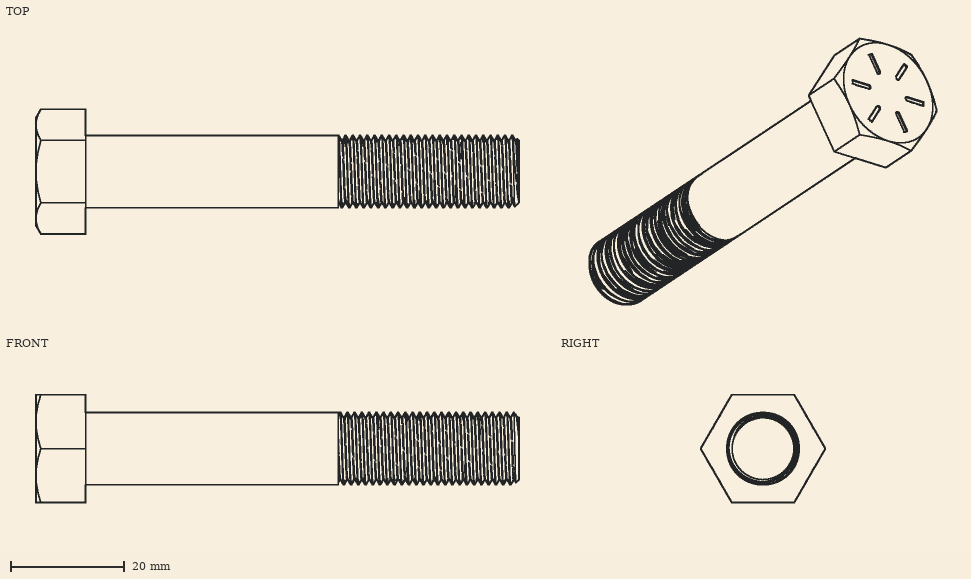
import cadquery as cq
import math

total_length = 84.9
head_height = 8.75
across_flats = 19.0
across_corners = across_flats / math.cos(math.radians(30))
shank_diameter = 12.7
shank_radius = shank_diameter / 2

head_chamfer_angle = 30
head_face_radius = across_flats / 2
head_corner_radius = across_corners / 2
head_chamfer_depth = (head_corner_radius - head_face_radius) * math.tan(math.radians(head_chamfer_angle))

thread_length = 31.8
thread_start = total_length - thread_length
thread_pitch = 1.3
thread_flank_angle = 30
root_diameter = 11.0
root_radius = root_diameter / 2
thread_depth = shank_radius - root_radius
tip_radius = 5.4

root_width = 0.2
flank_width = thread_depth * math.tan(math.radians(thread_flank_angle))
crest_width = thread_pitch - root_width - 2 * flank_width
flank_steps = 8

mark_count = 6
mark_inner_radius = 3.7
mark_outer_radius = 7.6
mark_width = 0.8
mark_depth = 0.25


def polar_point(radius, angle):
    return (radius * math.cos(angle), radius * math.sin(angle))


def make_head():
    """Hexagonal head with two flats facing +Z and -Z and conically trimmed corners."""
    prism = cq.Workplane("YZ").polygon(6, across_corners).extrude(head_height)
    trim_cone = (
        cq.Workplane("XY")
        .moveTo(0, 0)
        .lineTo(0, head_face_radius)
        .lineTo(head_chamfer_depth, head_corner_radius)
        .lineTo(head_height, head_corner_radius)
        .lineTo(head_height, 0)
        .close()
        .revolve(360, (0, 0, 0), (1, 0, 0))
    )
    return prism.intersect(trim_cone)


def make_grade_marks():
    """Shallow radial slots around the head face, square outside and rounded inside."""
    half_width = mark_width / 2
    round_centre = mark_inner_radius + half_width
    mark = (
        cq.Workplane("YZ")
        .moveTo(round_centre, half_width)
        .lineTo(mark_outer_radius, half_width)
        .lineTo(mark_outer_radius, -half_width)
        .lineTo(round_centre, -half_width)
        .threePointArc((mark_inner_radius, 0), (round_centre, half_width))
        .close()
        .extrude(mark_depth)
    )
    marks = mark
    for index in range(1, mark_count):
        marks = marks.union(mark.rotate((0, 0, 0), (1, 0, 0), index * 360 / mark_count))
    return marks


def make_plain_shank():
    shank_end = cq.Workplane("YZ").workplane(offset=head_height)
    return shank_end.circle(shank_radius).extrude(thread_start - head_height)


def make_thread():
    """Threaded end: one cross-section of the thread, twisted one turn per pitch.

    Cut square to the axis, the thread shows a crest arc and a root arc joined by
    two spirals, the flanks, whose radius falls evenly with the angle.
    """
    angle_per_length = 2 * math.pi / thread_pitch
    crest_half_angle = angle_per_length * crest_width / 2
    flank_angle_span = angle_per_length * flank_width

    falling_flank = []
    for step in range(flank_steps + 1):
        fraction = step / flank_steps
        radius = shank_radius - thread_depth * fraction
        falling_flank.append(polar_point(radius, crest_half_angle + flank_angle_span * fraction))
    rising_flank = [(x, -y) for x, y in reversed(falling_flank)]

    thread = (
        cq.Workplane("YZ")
        .workplane(offset=thread_start)
        .moveTo(*rising_flank[-1])
        .threePointArc((shank_radius, 0), falling_flank[0])
        .spline(falling_flank[1:], includeCurrent=True)
        .threePointArc((-root_radius, 0), rising_flank[0])
        .spline(rising_flank[1:], includeCurrent=True)
        .close()
        .twistExtrude(thread_length, 360 * thread_length / thread_pitch)
    )
    return thread.intersect(make_tip_envelope())


def make_tip_envelope():
    """Round envelope, wider than the thread, with a 45 degree taper just past the root at the tip."""
    clearance = 0.4
    outer_radius = shank_radius + clearance
    taper_length = outer_radius - tip_radius
    return (
        cq.Workplane("XY")
        .moveTo(thread_start - clearance, 0)
        .lineTo(thread_start - clearance, outer_radius)
        .lineTo(total_length - taper_length, outer_radius)
        .lineTo(total_length, tip_radius)
        .lineTo(total_length, 0)
        .close()
        .revolve(360, (0, 0, 0), (1, 0, 0))
    )


head = make_head().cut(make_grade_marks())
plain_bolt = head.union(make_plain_shank())
result = plain_bolt.union(make_thread(), glue=True).solids()